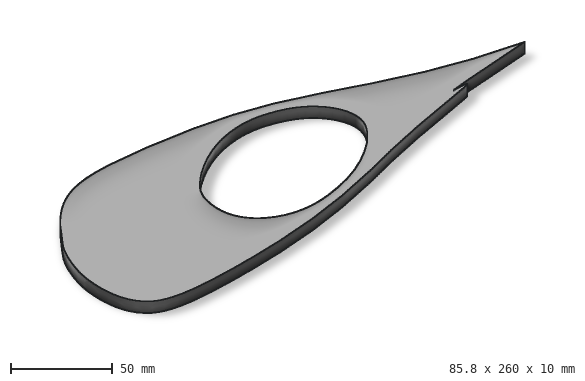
import cadquery as cq

length = 260.0
width = 85.8
thickness = 10.0
half_width = width / 2

opening_right_edge = [
    (0, 76.5),
    (16.6, 84.5),
    (25.2, 97.0),
    (30.0, 120.1),
    (27.5, 134.7),
    (19.2, 153.5),
    (0, 167.0),
]
opening_left_edge = [(-x, y) for x, y in reversed(opening_right_edge[1:-1])]

base = (0, 0)
tip = (0, length)
right_edge = [
    base,
    (17.2, 3.6),
    (28.5, 10.0),
    (38.7, 21.8),
    (42.0, 34.3),
    (half_width, 53.0),
    (41.0, 84.5),
    (35.5, 122.2),
    (27.3, 153.5),
    (17.2, 185.0),
    (6.8, 222.5),
    tip,
]
left_edge = [(-x, y) for x, y in reversed(right_edge)]

base_direction = (1, 0)
tip_slope = 0.14
right_tip_direction = (-tip_slope, 1)
left_tip_direction = (-tip_slope, -1)


def teardrop_plate():
    """Flat plate with a mirrored teardrop outline."""
    return (
        cq.Workplane("XY")
        .spline(right_edge, tangents=[base_direction, right_tip_direction])
        .spline(left_edge, tangents=[left_tip_direction, base_direction])
        .close()
        .extrude(thickness)
    )


def opening():
    """Smooth egg-shaped cutter through the full thickness."""
    return (
        cq.Workplane("XY")
        .spline(opening_right_edge + opening_left_edge, periodic=True)
        .close()
        .extrude(thickness)
    )


result = teardrop_plate().cut(opening())